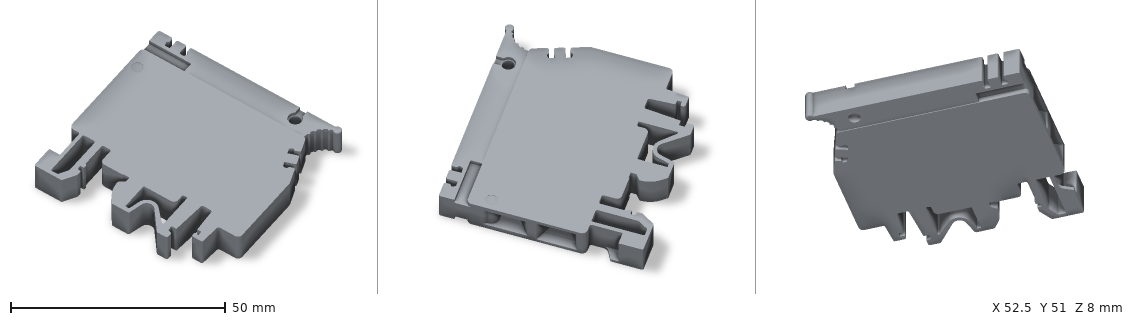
import cadquery as cq
import math


housing_thickness = 8.0
lever_thickness = 7.6
lever_core_thickness = 5.3

housing_right = 51.85
housing_top = 43.5
housing_bottom = 9.6
shoulder_y = 14.1
cavity_roof_y = 12.7
slope_angle = 20.0
slope_start_y = 30.05
corner_radius = 1.2
shoulder_radius = 1.4
slot_radius = 0.5
heel_radius = 0.4
small_radius = 0.3

neck_left = 3.1
neck_right = 9.53
block_top = 6.08
foot_toe_x = 7.87
hook_tip_x = 9.95
hook_chamfer_y = 3.45
hook_notch_x = 8.93
hook_notch_floor = 4.9
hook_lip_y = 6.97
hook_lip_end_y = 7.3
flange_thickness = 0.85
flange_edge_y = 8.05
flange_end_y = 9.8
flange_radius = 1.8
leg_slot_left = 4.06
leg_slot_right = 7.57
leg_slot_bevel_x = 6.0
leg_slot_bevel_y = 3.6
foot_floor = 1.0
housing_step_x = 12.06

arch_x = 29.1
arch_y = 4.35
arch_outer_radius = 2.8
arch_inner_radius = 1.8
arch_leg_angle = 165.0
arch_outer_angle = 45.0
arch_inner_angle = 40.0
nose_x = 18.85
nose_radius = 7.0
nose_corner_y = 4.38
nose_toe_x = 21.6
nose_top_y = 7.2
rail_notch_left = 18.7
rail_notch_right = 20.3
rail_notch_roof = 9.8
rail_notch_floor = 8.4
spring_cavity_left = 24.53
spring_cavity_right = 34.9
spring_cavity_floor = 2.16
spring_gap_left = 33.53

spring_tip_x = 38.05
spring_tip_y = 1.75
spring_notch_x = 36.86
spring_notch_floor = 2.05
spring_notch_roof = 3.44
spring_heel_x = 38.23
gap_roof_left = 39.0
gap_roof_right = 41.9
right_hook_x = 42.3
right_notch_x = 43.5
right_notch_floor = 4.92
right_foot_y = 3.75
right_foot_toe_x = 45.4
right_foot_root_x = 45.85

lever_top = 50.3
lever_corner_radius = 0.4
lever_overlap = 1.5
recess_length = housing_step_x
recess_top = 46.45
tail_start_x = 46.35
tail_mid = (47.45, 46.9)
tail_end = (50.6, 49.1)
grip_rib_radius = 0.35
grip_rib_count = 4
grip_end_gap = 0.5
knob_x = 51.4
knob_y = 49.9
knob_radius = 1.1
knob_rounding = 0.4
hole_x = 41.45
hole_y = 46.9
hole_radius = 1.5
counterbore_radius = 1.8
counterbore_depth = 1.0
wire_slot_width = 2.15

tab_half_width = 1.35
marker_slot_width = 1.19
marker_slot_depth = 2.95
marker_mouth_radius = 0.4
undercut_floor_reach = 0.2
undercut_reach = 0.55
undercut_height = 1.0
undercut_top = 1.45
top_marker_x = 6.6
flank_marker_y = 36.87

pivot_x = 2.54
pivot_y = 38.1
pivot_pin_radius = 1.5
pivot_pin_recess = 0.1
pivot_hub_radius = 1.95
window_top = 39.4
window_step_y = 38.55
window_depth = 4.1
window_bottom = 28.5
window_ramp_y = 31.7
funnel_height = 6.1
funnel_end_height = 3.64
funnel_mouth_y = (16.42, 26.27)
funnel_throat_y = (17.46, 25.2)
funnel_end_y = (18.97, 24.05)
funnel_throat_depth = 2.3
funnel_depth = 3.35

clearance = 1.0


def rounded_outline(corners):
    """Closed wire through corners (x, y, radius); radius 0 leaves a corner sharp."""
    stops = []
    count = len(corners)
    for i, (x, y, radius) in enumerate(corners):
        if radius == 0:
            stops.append([(x, y)])
            continue
        before, after = corners[i - 1], corners[(i + 1) % count]
        toward_before = cq.Vector(before[0] - x, before[1] - y).normalized()
        toward_after = cq.Vector(after[0] - x, after[1] - y).normalized()
        half_angle = toward_before.getAngle(toward_after) / 2
        setback = radius / math.tan(half_angle)
        bisector = (toward_before + toward_after).normalized()
        corner = cq.Vector(x, y)
        arc_start = corner + toward_before * setback
        arc_middle = corner + bisector * (radius / math.sin(half_angle) - radius)
        arc_end = corner + toward_after * setback
        stops.append([(p.x, p.y) for p in (arc_start, arc_middle, arc_end)])

    outline = cq.Workplane("XY").moveTo(*stops[0][-1])
    for stop in stops[1:] + stops[:1]:
        outline = outline.lineTo(*stop[0])
        if len(stop) > 1:
            outline = outline.threePointArc(stop[1], stop[2])
    return outline.close()


def slab(corners, thickness):
    """Plate with a rounded outline, centred on the mid-plane."""
    return rounded_outline(corners).extrude(thickness / 2, both=True)


def box(x_range, y_range, z_range):
    """Box spanning the given coordinate ranges."""
    size = [high - low for low, high in (x_range, y_range, z_range)]
    return cq.Workplane("XY").box(*size, centered=False).translate((x_range[0], y_range[0], z_range[0]))


def arch_apex(radius, flank_angle):
    """Point where the tangents to the arch at its leg and its flank cross."""
    middle = math.radians((arch_leg_angle + flank_angle) / 2)
    half_span = math.radians((arch_leg_angle - flank_angle) / 2)
    reach = radius / math.cos(half_span)
    return arch_x + reach * math.cos(middle), arch_y + reach * math.sin(middle)


def tangent_x_at(apex, normal_angle, y):
    """X at height y on the line through apex with the given normal direction."""
    return apex[0] - (y - apex[1]) * math.tan(math.radians(normal_angle))


def flank_x(y):
    """X of the sloping upper right flank at height y."""
    return housing_right - (y - slope_start_y) * math.tan(math.radians(slope_angle))


def make_housing():
    inner_apex = arch_apex(arch_inner_radius, arch_inner_angle)
    left_foot = [
        (0, shoulder_y, shoulder_radius),
        (neck_left, shoulder_y, slot_radius),
        (neck_left, flange_end_y, flange_radius),
        (0, flange_edge_y, 0),
        (0, 0, heel_radius),
        (foot_toe_x, 0, small_radius),
        (hook_tip_x, hook_chamfer_y, small_radius),
        (hook_tip_x, hook_notch_floor, small_radius),
        (hook_notch_x, hook_notch_floor, 0),
        (hook_notch_x, block_top, 0),
        (hook_tip_x, block_top, 0),
        (hook_tip_x, hook_lip_y, 0),
        (neck_right, hook_lip_end_y, 0),
        (neck_right, shoulder_y, slot_radius),
    ]
    spring_foot = [
        (housing_step_x, shoulder_y, slot_radius),
        (housing_step_x, housing_bottom, corner_radius),
        (rail_notch_left, housing_bottom, 0),
        (rail_notch_left, rail_notch_roof, 0),
        (rail_notch_right, rail_notch_roof, 0),
        (rail_notch_right, rail_notch_floor, 0),
        (nose_x, nose_top_y, small_radius),
        (nose_x, nose_corner_y, nose_radius),
        (nose_toe_x, foot_floor, 0),
        (tangent_x_at(inner_apex, arch_leg_angle, foot_floor), foot_floor, slot_radius),
        (*inner_apex, arch_inner_radius),
        (tangent_x_at(inner_apex, arch_inner_angle, 0), 0, small_radius),
    ]
    right_foot = [
        (spring_tip_x, 0, slot_radius),
        (spring_tip_x, spring_tip_y, small_radius),
        (spring_notch_x, spring_notch_floor, 0),
        (spring_notch_x, spring_notch_roof, 0),
        (spring_heel_x, spring_notch_roof, 0),
        (gap_roof_left, cavity_roof_y, slot_radius),
        (gap_roof_right, cavity_roof_y, slot_radius),
        (right_hook_x, block_top, 0),
        (right_notch_x, block_top, 0),
        (right_notch_x, right_notch_floor, 0),
        (right_hook_x, right_notch_floor, small_radius),
        (right_hook_x, right_foot_y, slot_radius),
        (right_foot_toe_x, right_foot_y, small_radius),
        (right_foot_root_x, housing_bottom, slot_radius),
    ]
    upper_body = [
        (housing_right, housing_bottom, corner_radius),
        (housing_right, slope_start_y, 0),
        (flank_x(housing_top), housing_top, corner_radius),
        (0, housing_top, corner_radius),
    ]
    return slab(left_foot + spring_foot + right_foot + upper_body, housing_thickness)


def make_leg_slot():
    corners = [
        (leg_slot_left, shoulder_y, small_radius),
        (leg_slot_right, shoulder_y, slot_radius),
        (leg_slot_right, leg_slot_bevel_y, corner_radius),
        (leg_slot_bevel_x, foot_floor, small_radius),
        (leg_slot_left, foot_floor, small_radius),
    ]
    return slab(corners, housing_thickness)


def make_spring_cavity():
    apex = arch_apex(arch_outer_radius, arch_outer_angle)
    flank_end_y = apex[1] - (spring_cavity_right - apex[0]) / math.tan(math.radians(arch_outer_angle))
    corners = [
        (spring_cavity_left, housing_bottom, small_radius),
        (spring_gap_left, housing_bottom, corner_radius),
        (spring_gap_left, cavity_roof_y, slot_radius),
        (spring_cavity_right, cavity_roof_y, 0),
        (spring_cavity_right, flank_end_y, small_radius),
        (*apex, arch_outer_radius),
        (tangent_x_at(apex, arch_leg_angle, spring_cavity_floor), spring_cavity_floor, 0),
        (spring_cavity_left, spring_cavity_floor, 0),
    ]
    return slab(corners, housing_thickness)


def make_flange_relief():
    flange_face = flange_thickness - housing_thickness / 2
    return box((-clearance, neck_left), (block_top, flange_end_y + flange_radius),
               (flange_face, housing_thickness / 2))


def arc_centre(a, b, c):
    """Centre of the circle through three points."""
    d = 2 * (a[0] * (b[1] - c[1]) + b[0] * (c[1] - a[1]) + c[0] * (a[1] - b[1]))
    sa, sb, sc = (p[0] ** 2 + p[1] ** 2 for p in (a, b, c))
    x = (sa * (b[1] - c[1]) + sb * (c[1] - a[1]) + sc * (a[1] - b[1])) / d
    y = (sa * (c[0] - b[0]) + sb * (a[0] - c[0]) + sc * (b[0] - a[0])) / d
    return x, y


def make_lever():
    base_y = housing_top - lever_overlap
    tail_start = (tail_start_x, housing_top)
    lever = (
        cq.Workplane("XY")
        .moveTo(0, base_y)
        .lineTo(tail_start_x, base_y)
        .lineTo(*tail_start)
        .threePointArc(tail_mid, tail_end)
        .lineTo(knob_x, knob_y)
        .lineTo(knob_x, lever_top)
        .lineTo(lever_corner_radius, lever_top)
        .radiusArc((0, lever_top - lever_corner_radius), -lever_corner_radius)
        .close()
        .extrude(lever_thickness / 2, both=True)
    )
    knob = (
        cq.Workplane("XY")
        .center(knob_x, knob_y)
        .circle(knob_radius)
        .extrude(lever_thickness / 2, both=True)
        .faces("|Z")
        .edges()
        .fillet(knob_rounding)
    )
    lever = lever.union(knob)

    centre_x, centre_y = arc_centre(tail_start, tail_mid, tail_end)
    tail_radius = math.hypot(tail_mid[0] - centre_x, tail_mid[1] - centre_y)
    first = math.atan2(housing_top - centre_y, tail_start_x - centre_x) % math.tau
    last = math.atan2(tail_end[1] - centre_y, tail_end[0] - centre_x) % math.tau
    for i in range(grip_rib_count):
        angle = first + (last - first) * (i + 1) / (grip_rib_count + grip_end_gap)
        rib = (
            cq.Workplane("XY")
            .center(centre_x + tail_radius * math.cos(angle), centre_y + tail_radius * math.sin(angle))
            .circle(grip_rib_radius)
            .extrude(lever_thickness / 2, both=True)
        )
        lever = lever.union(rib)

    core_half = lever_core_thickness / 2
    for z_range in ((core_half, lever_thickness), (-lever_thickness, -core_half)):
        lever = lever.cut(box((-clearance, recess_length), (base_y - clearance, recess_top), z_range))
    return lever


def make_lever_hole():
    """Through hole counterbored on top, with an open slot leading to the lever's upper edge."""
    seat_z = lever_thickness / 2 - counterbore_depth
    hole = cq.Workplane("XY").center(hole_x, hole_y)
    through = hole.circle(hole_radius).extrude(lever_thickness, both=True)
    counterbore = hole.workplane(offset=seat_z).circle(counterbore_radius).extrude(lever_thickness)
    wire_slot = box((hole_x - wire_slot_width / 2, hole_x + wire_slot_width / 2),
                    (hole_y, lever_top + clearance), (seat_z, lever_thickness))
    return through.union(counterbore).union(wire_slot)


def make_marker_slots():
    """Two mirrored slots either side of a tab; the outer edge is at y = 0, facing +Y."""
    inner = tab_half_width
    outer = inner + marker_slot_width
    floor = -marker_slot_depth
    mouth_reach = 2 * marker_mouth_radius
    corners = [
        (inner - mouth_reach, clearance, 0),
        (inner - mouth_reach, 0, 0),
        (inner, 0, marker_mouth_radius),
        (inner, floor, 0),
        (outer + undercut_floor_reach, floor, 0),
        (outer + undercut_reach, floor + undercut_height, 0),
        (outer, floor + undercut_top, 0),
        (outer, 0, marker_mouth_radius),
        (outer + mouth_reach, 0, 0),
        (outer + mouth_reach, clearance, 0),
    ]
    slot = slab(corners, housing_thickness)
    return slot.union(slot.mirror("YZ"))


def make_lever_window():
    """Opening in the left side that leaves the lever's rounded hinge end standing."""
    hub_left = pivot_x - pivot_hub_radius
    hub_bottom = pivot_y - pivot_hub_radius
    corners = [
        (-clearance, window_top, 0),
        (0, window_top, 0),
        (hub_left, window_step_y, 0),
        (hub_left, hub_bottom, pivot_hub_radius),
        (window_depth, hub_bottom, 0),
        (window_depth, window_ramp_y, 0),
        (0, window_bottom, 0),
        (-clearance, window_bottom, 0),
    ]
    return slab(corners, lever_core_thickness)


def make_wire_entry():
    """Tapered mouth followed by a four-sided funnel, entered from the left side."""
    mouth_low, mouth_high = funnel_mouth_y
    throat_low, throat_high = funnel_throat_y
    end_low, end_high = funnel_end_y
    mouth_corners = [
        (0, mouth_low, 0),
        (0, mouth_high, 0),
        (funnel_throat_depth, throat_high, 0),
        (funnel_throat_depth, throat_low, 0),
    ]
    mouth = slab(mouth_corners, funnel_height)
    funnel = (
        cq.Workplane("YZ", origin=(funnel_throat_depth, (throat_low + throat_high) / 2, 0))
        .rect(throat_high - throat_low, funnel_height)
        .workplane(offset=funnel_depth - funnel_throat_depth)
        .center((end_low + end_high - throat_low - throat_high) / 2, 0)
        .rect(end_high - end_low, funnel_end_height)
        .loft(combine=True)
    )
    return mouth.union(funnel)


def make_pivot_recess():
    return (
        cq.Workplane("XY", origin=(pivot_x, pivot_y, housing_thickness / 2 - pivot_pin_recess))
        .circle(pivot_pin_radius)
        .extrude(clearance)
    )


housing = make_housing().cut(make_leg_slot()).cut(make_spring_cavity()).cut(make_flange_relief())
lever = make_lever().cut(make_lever_hole())
block = housing.union(lever)

marker_slots = make_marker_slots()
flank_marker = marker_slots.rotate((0, 0, 0), (0, 0, 1), slope_angle - 90)
block = block.cut(marker_slots.translate((top_marker_x, lever_top, 0)))
block = block.cut(flank_marker.translate((flank_x(flank_marker_y), flank_marker_y, 0)))

block = block.cut(make_lever_window()).cut(make_wire_entry()).cut(make_pivot_recess())

result = block